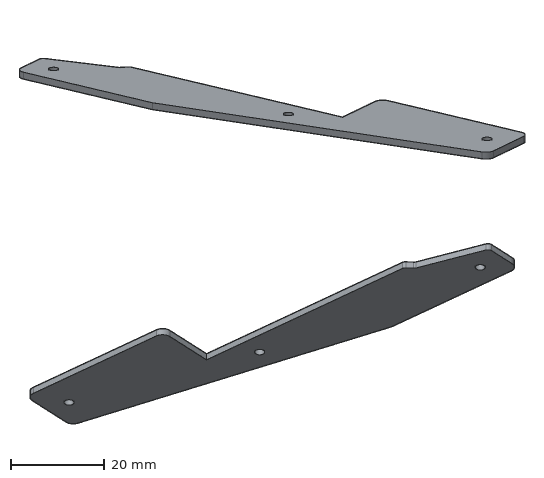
import cadquery as cq

length = 113.2
width = 30.1
thickness = 1.6

left_end_height = 9.6
notch_foot_x = 17.0
notch_foot_y = 14.3
shoulder_x = 18.7
shoulder_y = 16.0
tab_x = 74.4
underside_break_x = 35.8
right_end_bottom_y = 15.3

corner_radius = 2.0
small_corner_radius = 1.0

hole_diameter = 2.2
hole_centers = [(6.1, 5.4), (63.7, 10.9), (107.7, 22.4)]

lower_left = (0, 0)
underside_break = (underside_break_x, 0)
lower_right = (length, right_end_bottom_y)
upper_right = (length, width)
tab_top_left = (tab_x, width)
tab_foot = (tab_x, shoulder_y)
shoulder = (shoulder_x, shoulder_y)
notch_foot = (notch_foot_x, notch_foot_y)
upper_left = (0, left_end_height)


def make_blank():
    """Flat plate with sharp corners."""
    outline = [
        lower_left, underside_break, lower_right, upper_right, tab_top_left,
        tab_foot, shoulder, notch_foot, upper_left,
    ]
    return cq.Workplane("XY").polyline(outline).close().extrude(thickness)


def round_corners(body, corners, radius):
    """Fillet the vertical edges that stand on the given outline corners."""
    for x, y in corners:
        nearest_edge = cq.selectors.NearestToPointSelector((x, y, thickness / 2))
        body = body.edges("|Z").edges(nearest_edge).fillet(radius)
    return body


plate = make_blank()
plate = round_corners(plate, [lower_left, lower_right, upper_right, tab_top_left], corner_radius)
plate = round_corners(plate, [shoulder, notch_foot, upper_left], small_corner_radius)

holes = cq.Workplane("XY").pushPoints(hole_centers).circle(hole_diameter / 2).extrude(thickness)
result = plate.cut(holes)